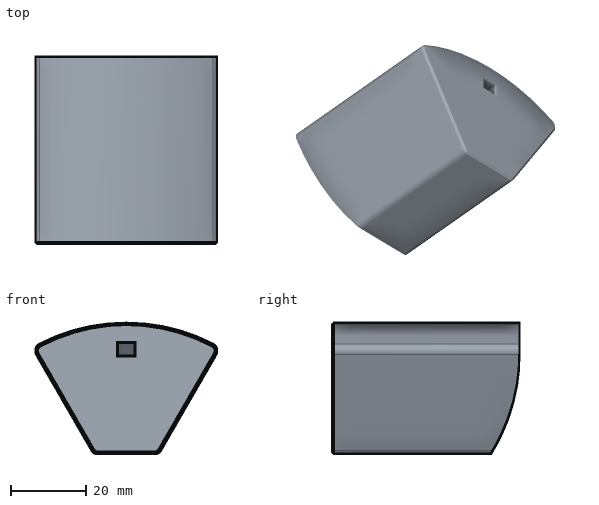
import cadquery as cq
import math

length = 50.0
height = 35.0
crown_radius = 50.0
half_angle = math.radians(30)
apex_z = height - crown_radius
top_corner_radius = 2.0
bottom_corner_radius = 1.75
front_chamfer = 0.6

back_radius = 50.0
back_curve_start_z = 26.6

socket_width = 4.3
socket_height = 3.3
socket_depth = 5.0
socket_center_z = 27.9
socket_chamfer = 0.25

front_y = -length / 2
back_y = length / 2


def fan_body():
    base_half_width = -apex_z * math.tan(half_angle)
    rim_x = crown_radius * math.sin(half_angle)
    rim_z = apex_z + crown_radius * math.cos(half_angle)
    body = (
        cq.Workplane("XZ", origin=(0, back_y, 0))
        .moveTo(-base_half_width, 0)
        .lineTo(base_half_width, 0)
        .lineTo(rim_x, rim_z)
        .threePointArc((0, height), (-rim_x, rim_z))
        .close()
        .extrude(length)
    )
    body = body.edges("|Y and (>X or <X)").fillet(top_corner_radius)
    body = body.edges("|Y").edges("<Z").fillet(bottom_corner_radius)
    return body.faces("<Y").chamfer(front_chamfer)


def back_trim():
    """Wedge of material removed behind the curved back."""
    def back_arc_y(z):
        drop = back_curve_start_z - z
        return back_y - back_radius + math.sqrt(back_radius**2 - drop**2)

    middle_z = back_curve_start_z / 2
    return (
        cq.Workplane("YZ")
        .moveTo(back_y, back_curve_start_z)
        .threePointArc((back_arc_y(middle_z), middle_z), (back_arc_y(0), 0))
        .lineTo(back_y, 0)
        .close()
        .extrude(crown_radius, both=True)
    )


def add_socket(body):
    face_plane = cq.Workplane("XZ", origin=(0, front_y, socket_center_z))
    socket = face_plane.rect(socket_width, socket_height).extrude(-socket_depth)
    lead_in = (
        face_plane.rect(socket_width + 2 * socket_chamfer, socket_height + 2 * socket_chamfer)
        .workplane(offset=-socket_chamfer)
        .rect(socket_width, socket_height)
        .loft()
    )
    return body.cut(socket).cut(lead_in)


result = add_socket(fan_body().cut(back_trim()))